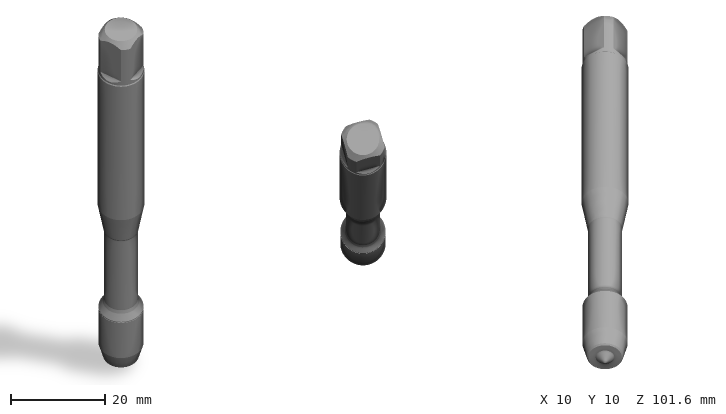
import cadquery as cq
import math

TOTAL_LENGTH = 101.6

POINT_HEIGHT = 1.8
POINT_DIA = 4.0
LEAD_DIA = 7.7
LEAD_CHAMFER = 0.3
LEAD_TOP = 6.0
HEAD_DIA = 9.7
HEAD_TOP = 16.8

COLLAR_DIA = 9.6
COLLAR_TOP = 17.1
COLLAR_CONE_TOP = 18.6
COLLAR_CONE_TOP_DIA = 7.7
NECK_BOTTOM = 19.4
NECK_DIA = 7.2
NECK_TOP = 40.6
TAPER_BOTTOM = 41.0
TAPER_BOTTOM_DIA = 7.5
TAPER_TOP = 48.4
SHANK_DIA = 10.0
SHOULDER_CHAMFER = 0.2

DRIVE_BOTTOM = 89.5
DRIVE_DIA = 9.7
DRIVE_FLATS = 8.1
FLAT_BOTTOM = 90.8
RUNOUT_ANGLE = 48.0
END_DIA = 6.9
END_CHAMFER_ANGLE = 45.0


def revolve_profile(points):
    """Revolve a closed (radius, height) outline about the Z axis."""
    return cq.Workplane("XZ").polyline(points).close().revolve(360, (0, 0, 0), (0, 1, 0))


def make_cutting_head():
    """Threaded end: conical point, tapered lead and plain cylinder."""
    return revolve_profile([
        (0, 0),
        (POINT_DIA / 2, POINT_HEIGHT),
        (LEAD_DIA / 2 - LEAD_CHAMFER, POINT_HEIGHT),
        (LEAD_DIA / 2, POINT_HEIGHT + LEAD_CHAMFER),
        (HEAD_DIA / 2, LEAD_TOP),
        (HEAD_DIA / 2, HEAD_TOP),
        (0, HEAD_TOP),
    ])


def make_shank_blank():
    """Turned shank: collar, neck, taper, full diameter and drive end."""
    end_drop = (DRIVE_DIA - END_DIA) / 2 * math.tan(math.radians(END_CHAMFER_ANGLE))
    return revolve_profile([
        (0, HEAD_TOP),
        (COLLAR_DIA / 2, HEAD_TOP),
        (COLLAR_DIA / 2, COLLAR_TOP),
        (COLLAR_CONE_TOP_DIA / 2, COLLAR_CONE_TOP),
        (NECK_DIA / 2, NECK_BOTTOM),
        (NECK_DIA / 2, NECK_TOP),
        (TAPER_BOTTOM_DIA / 2, TAPER_BOTTOM),
        (SHANK_DIA / 2, TAPER_TOP),
        (SHANK_DIA / 2, DRIVE_BOTTOM - SHOULDER_CHAMFER),
        (DRIVE_DIA / 2, DRIVE_BOTTOM),
        (DRIVE_DIA / 2, TOTAL_LENGTH - end_drop),
        (END_DIA / 2, TOTAL_LENGTH),
        (0, TOTAL_LENGTH),
    ])


def make_flat_cutter():
    """Cutter for one drive flat on +X, with a sloping run-out at its lower end."""
    inner = DRIVE_FLATS / 2
    outer = SHANK_DIA / 2
    runout_drop = (outer - inner) * math.tan(math.radians(RUNOUT_ANGLE))
    return (
        cq.Workplane("XZ")
        .polyline([
            (inner, FLAT_BOTTOM),
            (outer, FLAT_BOTTOM - runout_drop),
            (outer, TOTAL_LENGTH),
            (inner, TOTAL_LENGTH),
        ])
        .close()
        .extrude(SHANK_DIA, both=True)
    )


def make_shank():
    shank = make_shank_blank()
    cutter = make_flat_cutter()
    for quarter in range(4):
        shank = shank.cut(cutter.rotate((0, 0, 0), (0, 0, 1), 90 * quarter))
    return shank


cutting_head = make_cutting_head()
shank = make_shank()
result = cq.Compound.makeCompound([cutting_head.val(), shank.val()])